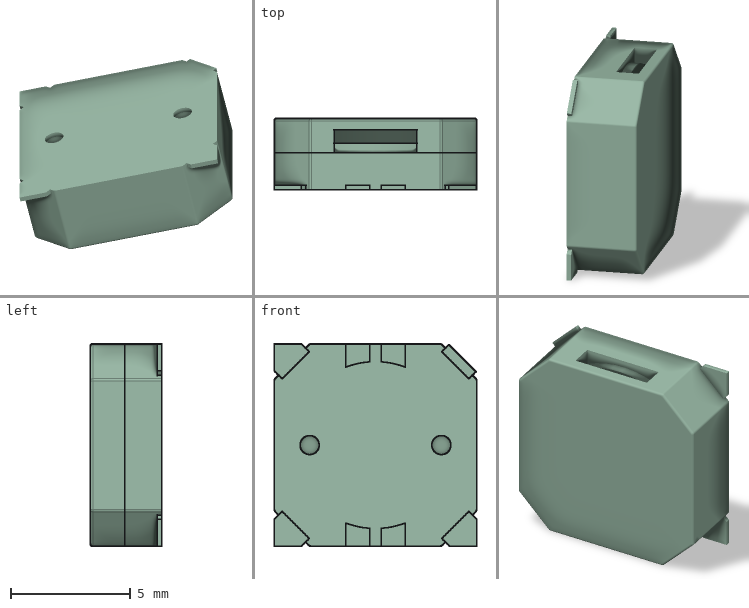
import cadquery as cq
import math

side = 8.5
depth = 3.0
half = side / 2
corner_cut = 1.5
corner_radius = 0.14
back_radius = 0.1
split_y = 1.55

boss_radius = 3.95
boss_height = 0.4
chamber_end_y = 2.525
window_width = 3.47

hole_spacing = 5.525
hole_diameter = 0.8
hole_depth = 0.2

sheet = 0.195
pad_width = 1.61
pad_inner = 1.275
short_pad_length = 0.425
strip_gap = 0.49
strip_width = 0.995
strip_arc_radius = 3.5


def slab(sketch, y_start, y_end):
    """Extrude an XZ workplane sketch from y_start to y_end."""
    return sketch.extrude(y_start - y_end).translate((0, y_start, 0))


def block(y_start, y_end):
    """Square block with cut corners and rounded upright edges."""
    square = slab(cq.Workplane("XZ").rect(side, side), y_start, y_end)
    return square.edges("|Y").chamfer(corner_cut).edges("|Y").fillet(corner_radius)


def disc(radius, y_start, y_end):
    return slab(cq.Workplane("XZ").circle(radius), y_start, y_end)


def make_corner_pad(angle, short=False):
    """Pad across one corner; angle turns it from the +X +Z corner about the Y axis."""
    inner = half * math.sqrt(2) - pad_inner
    length = short_pad_length if short else pad_inner
    bar = cq.Workplane("XY").box(length, sheet, pad_width, centered=(False, False, True))
    bar = bar.translate((inner, 0, 0)).rotate((0, 0, 0), (0, 1, 0), -45)
    pad = bar.intersect(slab(cq.Workplane("XZ").rect(side, side), 0, sheet))
    return pad.rotate((0, 0, 0), (0, 1, 0), angle)


def make_strip(x_sign, z_sign):
    """Strip from a Z side inwards, ending on the strip circle."""
    centre_x = x_sign * (strip_gap + strip_width) / 2
    outline = cq.Workplane("XZ").center(centre_x, z_sign * half / 2).rect(strip_width, half)
    return slab(outline, 0, sheet).cut(disc(strip_arc_radius, 0, sheet))


def make_base(inserts):
    base = block(0, split_y).union(disc(boss_radius, split_y, split_y + boss_height))
    holes = cq.Workplane("XZ").pushPoints([(-hole_spacing / 2, 0), (hole_spacing / 2, 0)])
    base = base.cut(slab(holes.circle(hole_diameter / 2), 0, hole_depth))
    for insert in inserts:
        base = base.cut(insert)
    return base


def make_cover():
    cover = block(split_y, depth).faces(">Y").edges().fillet(back_radius)
    cavity = disc(boss_radius, split_y, chamber_end_y)
    window = cq.Workplane("XZ").center(0, half / 2).rect(window_width, half)
    window = slab(window, split_y, chamber_end_y).cut(cavity)
    return cover.cut(window).cut(cavity, clean=False)


short_pad = make_corner_pad(0, short=True)
long_pads = [make_corner_pad(angle) for angle in (90, 180, 270)]
strips = [make_strip(x_sign, z_sign) for x_sign in (-1, 1) for z_sign in (-1, 1)]
inserts = [short_pad, *long_pads, *strips]
base = make_base(inserts)
cover = make_cover()

result = cq.Compound.makeCompound([base.val(), cover.val(), *[insert.val() for insert in inserts]])